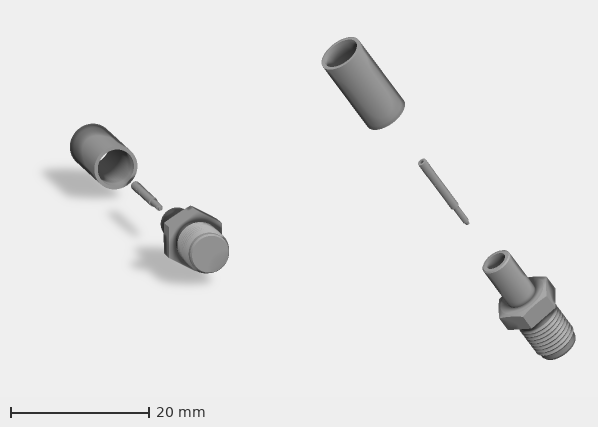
import cadquery as cq
import math

OVERALL_LENGTH = 61.9

SLEEVE_LENGTH = 12.75
SLEEVE_DIAMETER = 6.5
SLEEVE_BORE = 5.45

PIN_START = 23.0
PIN_DIAMETER = 1.3
PIN_TAIL_DIAMETER = 1.35
PIN_TAIL_LENGTH = 2.6
PIN_GROOVE_START = 4.1
PIN_GROOVE_WIDTH = 0.2
PIN_GROOVE_DIAMETER = 1.25
PIN_SHOULDER = 9.35
PIN_NOSE_DIAMETER = 0.9
PIN_TIP_BASE_DIAMETER = 0.7
PIN_TIP_DIAMETER = 0.55
PIN_TIP_LENGTH = 0.55
PIN_LENGTH = 13.05
PIN_WIRE_HOLE = 0.6
PIN_INSPECTION_HOLE = 0.55

TUBE_START = 43.9
TUBE_DIAMETER = 4.65
TUBE_BORE = 3.15
TUBE_CHAMFER = 0.2
HEX_START = 51.35
HEX_END = 54.1
HEX_ACROSS_FLATS = 8.0
HEX_ACROSS_CORNERS = HEX_ACROSS_FLATS / math.cos(math.pi / 6)
HEX_FACE_DIAMETER = 7.25
HEX_CHAMFER_DEPTH = 0.3
BARREL_DIAMETER = 5.9
BARREL_CHAMFER_LENGTH = 0.4
BARREL_CHAMFER_HEIGHT = 0.2
THREAD_DIAMETER = 6.5
THREAD_START = 55.6
THREAD_LENGTH = 5.2
THREAD_RIDGES = 8
THREAD_PITCH = THREAD_LENGTH / THREAD_RIDGES


def revolve_profile(points):
    """Turn a closed outline of (x, radius) points about the X axis."""
    return cq.Workplane("XY").polyline(points).close().revolve(360, (0, 0, 0), (1, 0, 0))


def cylinder(start, end, diameter):
    return cq.Workplane("YZ").workplane(offset=start).circle(diameter / 2).extrude(end - start)


def make_sleeve():
    return cylinder(0, SLEEVE_LENGTH, SLEEVE_DIAMETER).cut(cylinder(0, SLEEVE_LENGTH, SLEEVE_BORE))


def make_pin():
    tail_end = PIN_START + PIN_TAIL_LENGTH
    shoulder = PIN_START + PIN_SHOULDER
    pin_end = PIN_START + PIN_LENGTH
    tip_start = pin_end - PIN_TIP_LENGTH
    groove_start = PIN_START + PIN_GROOVE_START
    groove_end = groove_start + PIN_GROOVE_WIDTH

    pin = revolve_profile([
        (PIN_START, 0),
        (PIN_START, PIN_TAIL_DIAMETER / 2),
        (tail_end, PIN_TAIL_DIAMETER / 2),
        (tail_end, PIN_DIAMETER / 2),
        (groove_start, PIN_DIAMETER / 2),
        (groove_start, PIN_GROOVE_DIAMETER / 2),
        (groove_end, PIN_GROOVE_DIAMETER / 2),
        (groove_end, PIN_DIAMETER / 2),
        (shoulder, PIN_DIAMETER / 2),
        (shoulder, PIN_NOSE_DIAMETER / 2),
        (tip_start, PIN_NOSE_DIAMETER / 2),
        (tip_start, PIN_TIP_BASE_DIAMETER / 2),
        (pin_end, PIN_TIP_DIAMETER / 2),
        (pin_end, 0),
    ])
    wire_hole = cylinder(PIN_START, tail_end, PIN_WIRE_HOLE)

    inspection_hole = (
        cq.Workplane("XZ", origin=(PIN_START + PIN_TAIL_LENGTH / 2, 0, 0))
        .circle(PIN_INSPECTION_HOLE / 2)
        .extrude(-PIN_TAIL_DIAMETER)
    )
    return pin.cut(wire_hole).cut(inspection_hole)


def make_crimp_tube():
    tube = cylinder(TUBE_START, HEX_START, TUBE_DIAMETER)
    return tube.faces("<X").chamfer(TUBE_CHAMFER)


def make_hex_flange():
    """Hexagon with corners up and down, its tube-side corners turned to a cone."""
    flange = (
        cq.Workplane("YZ")
        .workplane(offset=HEX_START)
        .transformed(rotate=(0, 0, 90))
        .polygon(6, HEX_ACROSS_CORNERS)
        .extrude(HEX_END - HEX_START)
    )
    cone_end = HEX_START + HEX_CHAMFER_DEPTH
    envelope = revolve_profile([
        (HEX_START, 0),
        (HEX_START, HEX_FACE_DIAMETER / 2),
        (cone_end, HEX_ACROSS_CORNERS / 2),
        (HEX_END, HEX_ACROSS_CORNERS / 2),
        (HEX_END, 0),
    ])
    return flange.intersect(envelope)


def make_threaded_barrel():
    """Barrel with ring-shaped V ridges and a bevelled outer end."""
    root = BARREL_DIAMETER / 2
    crest = THREAD_DIAMETER / 2
    outline = [(HEX_END, 0), (HEX_END, root), (THREAD_START, root)]
    for ridge in range(THREAD_RIDGES):
        ridge_start = THREAD_START + ridge * THREAD_PITCH
        outline.append((ridge_start + THREAD_PITCH / 2, crest))
        outline.append((ridge_start + THREAD_PITCH, root))
    outline += [
        (OVERALL_LENGTH - BARREL_CHAMFER_LENGTH, root),
        (OVERALL_LENGTH, root - BARREL_CHAMFER_HEIGHT),
        (OVERALL_LENGTH, 0),
    ]
    return revolve_profile(outline)


def make_connector():
    solid_body = make_hex_flange().union(make_crimp_tube()).union(make_threaded_barrel())
    cable_bore = cylinder(TUBE_START, HEX_START, TUBE_BORE)
    return solid_body.cut(cable_bore)


sleeve = make_sleeve()
pin = make_pin()
connector = make_connector()

result = cq.Compound.makeCompound([sleeve.solids().val(), pin.solids().val(), connector.solids().val()])